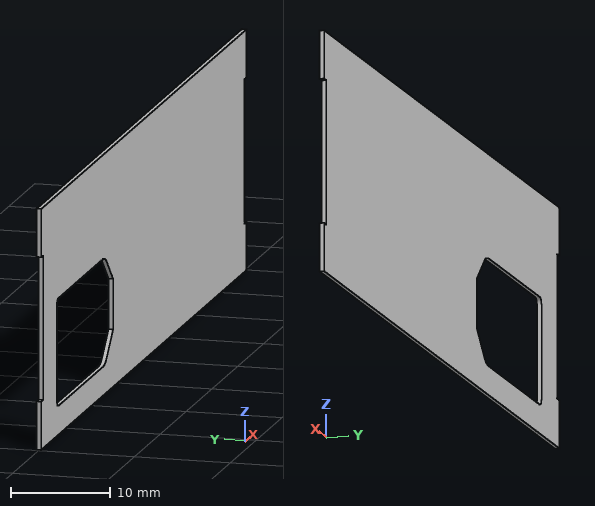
import cadquery as cq

length = 79.5
height = 25.0
thickness = 0.5

notch_depth = 0.8
notch_height = 14.95

window_left = -length / 2 + 6.1
window_bottom = -height / 2 + 3.0
window_length = 21.7
window_height = 11.1
taper_length = 3.1
taper_height = 2.95
corner_radius = 0.6
shoulder_radius = 2.0


def make_plate():
    return cq.Workplane("XY").box(length, thickness, height)


def make_end_notches():
    return (
        cq.Workplane("XY")
        .pushPoints([(-length / 2, 0), (length / 2, 0)])
        .box(2 * notch_depth, 2 * thickness, notch_height)
    )


def make_window():
    right = window_left + window_length
    top = window_bottom + window_height
    outline = [
        (window_left, window_bottom),
        (right - taper_length, window_bottom),
        (right, window_bottom + taper_height),
        (right, top - taper_height),
        (right - taper_length, top),
        (window_left, top),
    ]
    cutter = cq.Workplane("XZ").polyline(outline).close().extrude(thickness, both=True)
    cutter = cutter.edges("|Y").edges("not (<X or >X)").fillet(shoulder_radius)
    return cutter.edges("|Y").edges("<X").fillet(corner_radius)


result = make_plate().cut(make_end_notches()).cut(make_window())